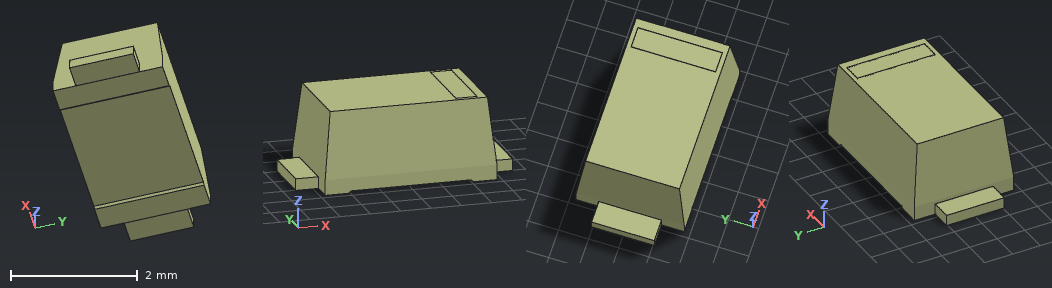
import cadquery as cq

overall_length = 3.58
overall_height = 1.35

housing_length = 2.835
housing_width = 1.8
base_height = 0.25
taper_inset = 0.118

relief_depth = 0.035
relief_length = 2.055

lead_length = (overall_length - housing_length) / 2
lead_width = 1.045
lead_thickness = 0.197

band_length = 0.347
band_width = 1.405
band_depth = 0.018
band_center_x = 0.975


def make_base():
    """Straight-sided lower part of the housing, standing on Z = 0."""
    return cq.Workplane("XY").box(
        housing_length, housing_width, base_height, centered=(True, True, False)
    )


def make_tapered_top():
    """Upper part of the housing, narrowing equally on all four sides."""
    return (
        cq.Workplane("XY", origin=(0, 0, base_height))
        .rect(housing_length, housing_width)
        .workplane(offset=overall_height - base_height)
        .rect(housing_length - 2 * taper_inset, housing_width - 2 * taper_inset)
        .loft(ruled=True)
    )


def make_relief():
    """Trapezoidal channel running across the full width of the underside."""
    half_bottom = relief_length / 2
    half_top = half_bottom - relief_depth
    return (
        cq.Workplane("XZ")
        .polyline([
            (-half_bottom, 0),
            (-half_top, relief_depth),
            (half_top, relief_depth),
            (half_bottom, 0),
        ])
        .close()
        .extrude(housing_width / 2, both=True)
    )


def make_band():
    """Thin rectangular band whose upper face is level with the housing top."""
    return cq.Workplane("XY", origin=(band_center_x, 0, overall_height - band_depth)).box(
        band_length, band_width, band_depth, centered=(True, True, False)
    )


def make_housing(band):
    """Moulded housing with the underside relief and the recess for the band."""
    return make_base().union(make_tapered_top()).cut(make_relief()).cut(band)


def make_lead(side):
    """Flat lead at the +X end (side = 1) or the -X end (side = -1)."""
    center_x = side * (housing_length + lead_length) / 2
    return cq.Workplane("XY", origin=(center_x, 0, 0)).box(
        lead_length, lead_width, lead_thickness, centered=(True, True, False)
    )


band = make_band()
housing = make_housing(band)
leads = [make_lead(side) for side in (-1, 1)]

result = cq.Compound.makeCompound([
    housing.solids().val(),
    band.val(),
    *[lead.val() for lead in leads],
])